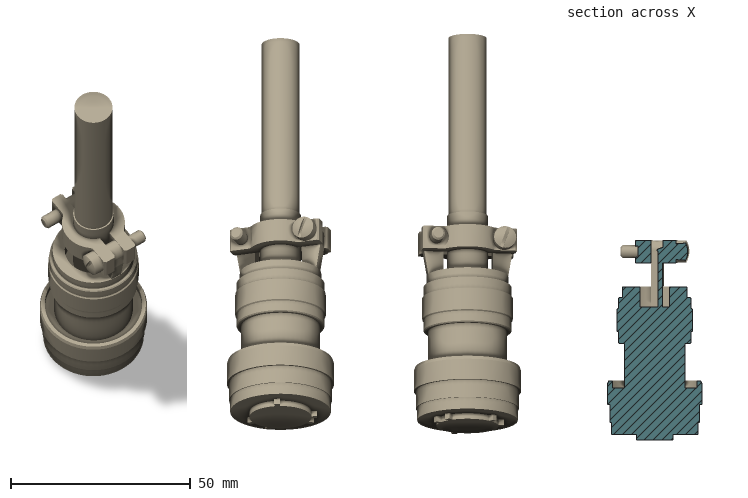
import cadquery as cq
import math

nut_bottom = 1.6
nut_step_1 = 4.9
nut_step_2 = 9.9
nut_chamfer_start = 15.65
nut_top = 16.6
nut_recess_depth = 2.0
ring_bottom = 26.9
band_bottom = 30.1
band_top = 36.8
ring_top = 39.9
backshell_top = 42.7
bore_depth = 5.5
sleeve_top = 60.05
cable_top = 110.94
bore_floor = backshell_top - bore_depth

insert_radius = 8.65
key_radius = 10.15
nut_radius = 29.87 / 2
nut_rim_outer_radius = 14.6
nut_rim_inner_radius = 13.55
nut_mid_radius = 14.3
nut_lower_radius = 14.0
body_radius = 11.0
ring_radius = 12.25
band_radius = 12.6
ring_chamfer = 0.3
backshell_radius = 11.35
bore_radius = 8.0
sleeve_radius = 5.65
cable_radius = 5.3

key_angles = (99.5, 195.0, 223.5, 306.0, 345.5)
key_width_angle = 9.0

clamp_angle = -5.0
clamp_bottom = 49.3
clamp_top = 55.7
clamp_height = clamp_top - clamp_bottom
clamp_half_length = 13.2
clamp_gap = 3.2
bar_outer_y = 5.3
saddle_radius = 8.75
saddle_blend = 1.5
bar_end_chamfer = 0.5
spotface_radius = 3.4

screw_x = 9.5
screw_z = (clamp_bottom + clamp_top) / 2
shank_radius = 1.85
shank_tip_y = 10.2
shank_tip_chamfer = 0.5
head_radius = 3.1
head_end_y = 8.9
head_dome_height = 0.9
slot_width = 0.9
slot_depth = 0.9
slot_angle = 20.0

post_inner_x = 6.95
post_base_outer_x = 11.2
post_shoulder_x = 12.35
post_top_z = clamp_top - 0.1


def cylinder(radius, z_low, z_high):
    return cq.Workplane("XY").workplane(offset=z_low).circle(radius).extrude(z_high - z_low)


def make_insert():
    """Mating insert: a plain cylinder with narrow radial keys."""
    insert = cylinder(insert_radius, 0, nut_step_1)
    half_angle = math.radians(key_width_angle / 2)
    sector_radius = 2 * key_radius
    sector_half_width = sector_radius * math.tan(half_angle)
    bounding_cylinder = cylinder(key_radius, 0, nut_step_1)
    sector = (
        cq.Workplane("XY")
        .polyline([(0, 0), (sector_radius, -sector_half_width), (sector_radius, sector_half_width)])
        .close()
        .extrude(nut_step_1)
    )
    key = sector.intersect(bounding_cylinder)
    for angle in key_angles:
        insert = insert.union(key.rotate((0, 0, 0), (0, 0, 1), angle))
    return insert


def make_turned_body():
    """Coupling nut, barrel, backshell ring, cable sleeve and cable as one revolved outline."""
    recess_floor = nut_top - nut_recess_depth
    outline = [
        (0, nut_bottom),
        (nut_lower_radius, nut_bottom),
        (nut_lower_radius, nut_step_1),
        (nut_mid_radius, nut_step_1),
        (nut_mid_radius, nut_step_2),
        (nut_radius, nut_step_2),
        (nut_radius, nut_chamfer_start),
        (nut_rim_outer_radius, nut_top),
        (nut_rim_inner_radius, nut_top),
        (nut_rim_inner_radius, recess_floor),
        (body_radius, recess_floor),
        (body_radius, ring_bottom),
        (ring_radius - ring_chamfer, ring_bottom),
        (ring_radius, ring_bottom + ring_chamfer),
        (ring_radius, band_bottom),
        (band_radius, band_bottom + ring_chamfer),
        (band_radius, band_top - ring_chamfer),
        (ring_radius, band_top),
        (ring_radius, ring_top - ring_chamfer),
        (ring_radius - ring_chamfer, ring_top),
        (backshell_radius, ring_top),
        (backshell_radius, backshell_top),
        (bore_radius, backshell_top),
        (bore_radius, bore_floor),
        (sleeve_radius, bore_floor),
        (sleeve_radius, sleeve_top),
        (cable_radius, sleeve_top),
        (cable_radius, cable_top),
        (0, cable_top),
    ]
    return cq.Workplane("XZ").polyline(outline).close().revolve(360, (0, 0, 0), (0, 1, 0))


def make_post():
    """Post on the +X side: tapered web with a rounded top around the screw."""
    web = (
        cq.Workplane("XZ")
        .moveTo(post_inner_x, bore_floor)
        .lineTo(post_base_outer_x, bore_floor)
        .lineTo(post_base_outer_x, backshell_top)
        .lineTo(post_shoulder_x, clamp_bottom)
        .lineTo(post_shoulder_x, screw_z)
        .threePointArc(((post_inner_x + post_shoulder_x) / 2, post_top_z), (post_inner_x, screw_z))
        .close()
    )
    return web.extrude(clamp_gap / 2, both=True)


def make_clamp_bar():
    """Clamp bar on the -Y side, with its screw head at +X and its screw tip at -X."""
    gap_y = clamp_gap / 2
    length = 2 * clamp_half_length
    bar = (
        cq.Workplane("XY")
        .workplane(offset=clamp_bottom)
        .center(0, -(bar_outer_y + gap_y) / 2)
        .rect(length, bar_outer_y - gap_y)
        .extrude(clamp_height)
        .edges("|Z")
        .chamfer(bar_end_chamfer)
    )
    saddle = cylinder(saddle_radius, clamp_bottom, clamp_top)
    gap_side = (
        cq.Workplane("XY")
        .workplane(offset=clamp_bottom)
        .center(0, saddle_radius - gap_y)
        .rect(length, 2 * saddle_radius)
        .extrude(clamp_height)
    )
    bar = bar.union(saddle.cut(gap_side))

    corner_x = math.sqrt(saddle_radius**2 - bar_outer_y**2)
    for side in (-1, 1):
        corner = (side * corner_x, -bar_outer_y, screw_z)
        bar = bar.edges(cq.selectors.NearestToPointSelector(corner)).fillet(saddle_blend)

    for side in (-1, 1):
        seat = (
            cq.Workplane("XZ", origin=(side * screw_x, -bar_outer_y, screw_z))
            .circle(spotface_radius)
            .extrude(saddle_radius)
        )
        bar = bar.cut(seat)
    return bar.cut(cylinder(sleeve_radius, clamp_bottom, clamp_top))


def make_screw():
    """Slotted screw along Y at +X, domed head towards -Y and chamfered tip towards +Y."""
    shank = (
        cq.Workplane("XZ", origin=(screw_x, -bar_outer_y, screw_z))
        .circle(shank_radius)
        .extrude(-(bar_outer_y + shank_tip_y))
        .faces(">Y")
        .chamfer(shank_tip_chamfer)
    )
    dome_radius = (head_radius**2 + head_dome_height**2) / (2 * head_dome_height)
    head = (
        cq.Workplane("XZ", origin=(screw_x, -bar_outer_y, screw_z))
        .circle(head_radius)
        .extrude(head_end_y - bar_outer_y)
    )
    dome = cq.Workplane("XY", origin=(screw_x, dome_radius - head_end_y, screw_z)).sphere(dome_radius)
    head = head.intersect(dome)
    slot = (
        cq.Workplane("XZ", origin=(screw_x, -head_end_y, screw_z))
        .transformed(rotate=(0, 0, -slot_angle))
        .rect(slot_width, 3 * head_radius)
        .extrude(-slot_depth)
    )
    return shank.union(head.cut(slot))


def make_cable_clamp():
    """Both posts, bars and screws: one half repeated by a half turn, set at the clamp angle."""
    half = make_post().union(make_clamp_bar()).union(make_screw())
    other_half = half.rotate((0, 0, 0), (0, 0, 1), 180)
    return half.union(other_half).rotate((0, 0, 0), (0, 0, 1), clamp_angle)


result = make_turned_body().union(make_insert()).union(make_cable_clamp())